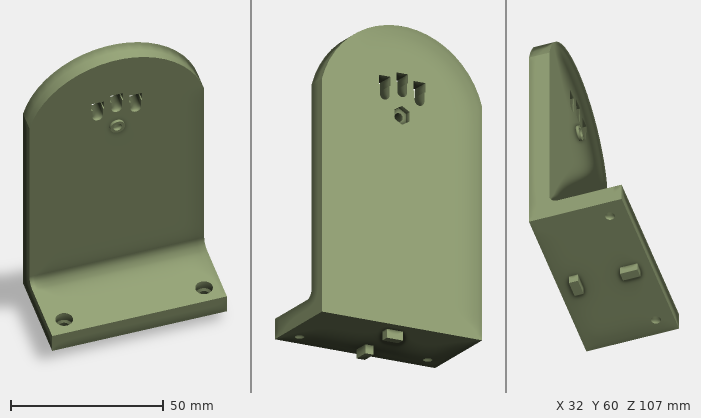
import cadquery as cq

WIDTH = 60.0
TOTAL_HEIGHT = 107.0
FOOT_LENGTH = 32.0
WALL = 7.1
KEY_HEIGHT = 3.1
SHOULDER_Z = 83.9
CORNER_RADIUS = 3.0

KEY_LONG = 6.0
KEY_SHORT = 3.1
REAR_KEY_X = 6.4
FRONT_KEY_X = 25.0

MOUNT_X = 26.0
MOUNT_SPACING = 48.0
MOUNT_DIAMETER = 3.2
MOUNT_HEAD_DIAMETER = 5.8
MOUNT_HEAD_DEPTH = 3.2

BOSS_Z = 76.1
BOSS_DIAMETER = 5.0
BOSS_HEIGHT = 1.0
SCREW_DIAMETER = 3.0
NUT_CORNER_DIAMETER = 6.5
NUT_DEPTH = 2.4

SLOT_HEAD_WIDTH = 4.4
SLOT_HEAD_HEIGHT = 3.2
SLOT_NECK_WIDTH = 3.6
SLOT_HEIGHT = 8.2
SIDE_SLOT_Y = 6.5
SIDE_SLOT_TOP = 88.7
MIDDLE_SLOT_TOP = 90.6

FOOT_TOP = KEY_HEIGHT + WALL


def make_plate():
    """Upright plate with an arched top."""
    half = WIDTH / 2
    return (
        cq.Workplane("YZ")
        .moveTo(-half, KEY_HEIGHT)
        .lineTo(half, KEY_HEIGHT)
        .lineTo(half, SHOULDER_Z)
        .threePointArc((0, TOTAL_HEIGHT), (-half, SHOULDER_Z))
        .close()
        .extrude(WALL)
    )


def make_foot():
    """Horizontal foot, blended into the plate along the inside corner."""
    return (
        cq.Workplane("XZ", origin=(0, WIDTH / 2, 0))
        .moveTo(0, KEY_HEIGHT)
        .lineTo(FOOT_LENGTH, KEY_HEIGHT)
        .lineTo(FOOT_LENGTH, FOOT_TOP)
        .lineTo(WALL + CORNER_RADIUS, FOOT_TOP)
        .radiusArc((WALL, FOOT_TOP + CORNER_RADIUS), CORNER_RADIUS)
        .lineTo(0, FOOT_TOP + CORNER_RADIUS)
        .close()
        .extrude(WIDTH)
    )


def make_key(x, length_x, length_y):
    """Rectangular locating key below the foot."""
    return (
        cq.Workplane("XY")
        .center(x, 0)
        .rect(length_x, length_y)
        .extrude(KEY_HEIGHT)
    )


def make_slot(y, top):
    """Cutter for a wide slot head above a narrow, round-ended neck."""
    half_head = SLOT_HEAD_WIDTH / 2
    half_neck = SLOT_NECK_WIDTH / 2
    step = top - SLOT_HEAD_HEIGHT
    bottom = top - SLOT_HEIGHT
    arc_center = bottom + half_neck
    return (
        cq.Workplane("YZ")
        .moveTo(y - half_head, top)
        .lineTo(y + half_head, top)
        .lineTo(y + half_head, step)
        .lineTo(y + half_neck, step)
        .lineTo(y + half_neck, arc_center)
        .threePointArc((y, bottom), (y - half_neck, arc_center))
        .lineTo(y - half_neck, step)
        .lineTo(y - half_head, step)
        .close()
        .extrude(WALL)
    )


bracket = make_plate().union(make_foot())
bracket = bracket.union(make_key(REAR_KEY_X, KEY_SHORT, KEY_LONG))
bracket = bracket.union(make_key(FRONT_KEY_X, KEY_LONG, KEY_SHORT))

bracket = (
    bracket.copyWorkplane(cq.Workplane("XY", origin=(MOUNT_X, 0, FOOT_TOP)))
    .pushPoints([(0, -MOUNT_SPACING / 2), (0, MOUNT_SPACING / 2)])
    .cboreHole(MOUNT_DIAMETER, MOUNT_HEAD_DIAMETER, MOUNT_HEAD_DEPTH, WALL)
)

axis = cq.Workplane("YZ", origin=(0, 0, BOSS_Z))
boss_reach = WALL + BOSS_HEIGHT
boss = axis.workplane(offset=WALL).circle(BOSS_DIAMETER / 2).extrude(BOSS_HEIGHT)
screw_hole = axis.circle(SCREW_DIAMETER / 2).extrude(boss_reach)
nut_pocket = axis.transformed(rotate=(0, 0, 90)).polygon(6, NUT_CORNER_DIAMETER).extrude(NUT_DEPTH)
bracket = bracket.union(boss).cut(screw_hole).cut(nut_pocket)

for slot_y, slot_top in [
    (-SIDE_SLOT_Y, SIDE_SLOT_TOP),
    (0, MIDDLE_SLOT_TOP),
    (SIDE_SLOT_Y, SIDE_SLOT_TOP),
]:
    bracket = bracket.cut(make_slot(slot_y, slot_top))

result = bracket